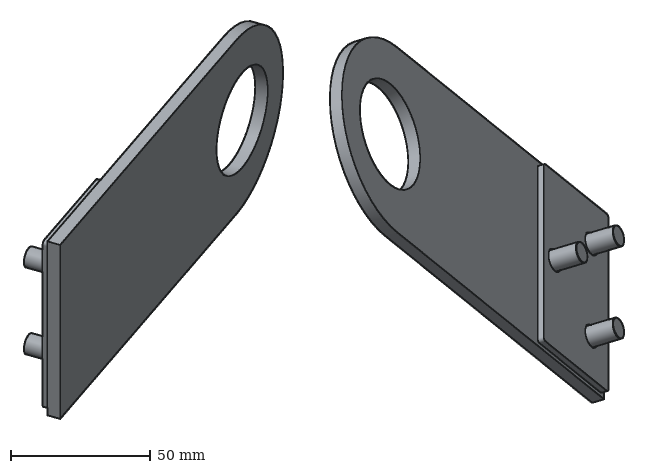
import cadquery as cq

plate_length = 181.0
plate_width = 76.2
plate_thickness = 5.0
end_radius = plate_width / 2
end_center_y = plate_length - end_radius
eye_diameter = 41.5
eye_center_y = 147.7

pad_length = 44.9
pad_width = 73.0
pad_thickness = 2.5
pad_end_margin = 1.0
pad_corner_radius = 1.5
pad_center_y = pad_end_margin + pad_length / 2

pin_diameter = 8.0
pin_hole_diameter = 8.7
pin_tip_chamfer = 0.2
pin_projection = 11.4
pin_length = pad_thickness + pin_projection
pin_row_y = 12.8
pin_row_spacing = 25.3
pin_offset_z = 19.0
pin_positions = [
    (pin_row_y, -pin_offset_z),
    (pin_row_y, pin_offset_z),
    (pin_row_y + pin_row_spacing, 0),
]


def make_plate():
    """Tongue-shaped plate with an eye; its -X face lies at X = 0."""
    return (
        cq.Workplane("YZ")
        .moveTo(0, -plate_width / 2)
        .lineTo(end_center_y, -plate_width / 2)
        .threePointArc((plate_length, 0), (end_center_y, plate_width / 2))
        .lineTo(0, plate_width / 2)
        .close()
        .extrude(plate_thickness)
        .cut(cq.Workplane("YZ").center(eye_center_y, 0).circle(eye_diameter / 2).extrude(plate_thickness))
    )


def make_pad():
    """Rectangular pad with rounded corners and a clearance hole for each pin."""
    blank = (
        cq.Workplane("YZ")
        .center(pad_center_y, 0)
        .rect(pad_length, pad_width)
        .extrude(-pad_thickness)
        .edges("|X")
        .fillet(pad_corner_radius)
    )
    holes = cq.Workplane("YZ").pushPoints(pin_positions).circle(pin_hole_diameter / 2).extrude(-pad_thickness)
    return blank.cut(holes)


def make_pin(y, z):
    """Round pin with a chamfered tip, from the plate face outwards along -X."""
    return (
        cq.Workplane("YZ")
        .center(y, z)
        .circle(pin_diameter / 2)
        .extrude(-pin_length)
        .faces("<X")
        .chamfer(pin_tip_chamfer)
    )


plate = make_plate()
pad = make_pad()
pins = [make_pin(y, z) for y, z in pin_positions]

result = cq.Compound.makeCompound([plate.val(), pad.val(), *[pin.val() for pin in pins]])